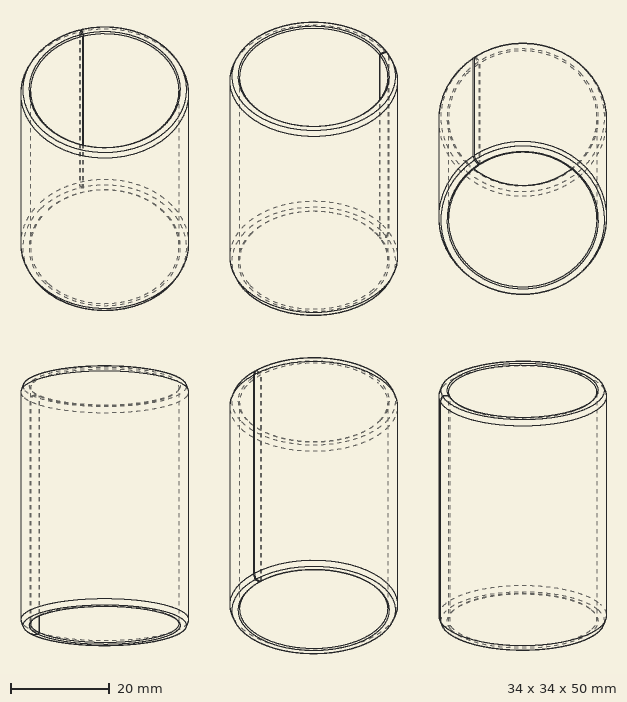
import cadquery as cq

length = 50.0
outer_diameter = 34.0
wall = 2.0
outer_chamfer_length = 1.2
outer_chamfer_depth = 0.45
inner_chamfer = 0.3
joint_angle = 1.0

outer_radius = outer_diameter / 2
inner_radius = outer_radius - wall


def sleeve():
    """Revolve the chamfered wall section from -X through -Y, stopping short to leave the joint open."""
    end_outer_radius = outer_radius - outer_chamfer_depth
    end_inner_radius = inner_radius + inner_chamfer
    section = [
        (-inner_radius, inner_chamfer),
        (-end_inner_radius, 0),
        (-end_outer_radius, 0),
        (-outer_radius, outer_chamfer_length),
        (-outer_radius, length - outer_chamfer_length),
        (-end_outer_radius, length),
        (-end_inner_radius, length),
        (-inner_radius, length - inner_chamfer),
    ]
    return cq.Workplane("XZ").polyline(section).close().revolve(360 - joint_angle, (0, 0), (0, 1))


result = sleeve()